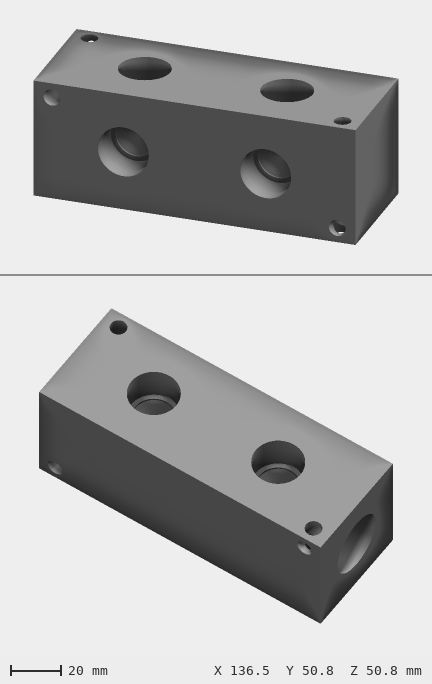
import cadquery as cq
import math

length = 136.5
width = 50.8

side_port_diameter = 21.6
side_drill_diameter = 17.5
side_port_depth = 15.2
end_port_diameter = 26.9
end_drill_diameter = 23.1
end_port_depth = 15.8
drill_step_depth = 0.8
drill_point_angle = 118.0
side_port_inset = 38.1
side_port_positions = (side_port_inset, length - side_port_inset)

mount_hole_diameter = 7.1
mount_hole_end_inset = 7.8
mount_hole_offset = 19.1
mount_hole_positions = (
    (mount_hole_end_inset, mount_hole_offset),
    (length - mount_hole_end_inset, -mount_hole_offset),
)


def port(diameter, drill_diameter, depth):
    """Port cutter opening at the origin and pointing along -Z."""
    drill_radius = drill_diameter / 2
    point_length = drill_radius / math.tan(math.radians(drill_point_angle / 2))
    drill_depth = depth + drill_step_depth
    profile = (
        cq.Workplane("XZ")
        .lineTo(diameter / 2, 0)
        .lineTo(diameter / 2, -depth)
        .lineTo(drill_radius, -depth)
        .lineTo(drill_radius, -drill_depth)
        .lineTo(0, -drill_depth - point_length)
        .close()
    )
    return profile.revolve(360, (0, 0, 0), (0, 1, 0))


def top_face_features():
    """Cutters for the two side ports and two mounting holes of the top face."""
    cutters = (
        cq.Workplane("XY")
        .pushPoints(mount_hole_positions)
        .circle(mount_hole_diameter / 2)
        .extrude(width / 2, both=True)
    )
    for x in side_port_positions:
        side_port = port(side_port_diameter, side_drill_diameter, side_port_depth)
        cutters = cutters.union(side_port.translate((x, 0, width / 2)))
    return cutters


def front_face_features():
    """The top-face cutters turned a quarter about X, so they open on the -Y face."""
    return top_face_features().rotate((0, 0, 0), (1, 0, 0), 90)


def end_port():
    """Port cutter opening on the X = 0 end."""
    return port(end_port_diameter, end_drill_diameter, end_port_depth).rotate((0, 0, 0), (0, 1, 0), -90)


result = cq.Workplane("XY").box(length, width, width, centered=(False, True, True))
result = result.cut(top_face_features()).cut(front_face_features()).cut(end_port())